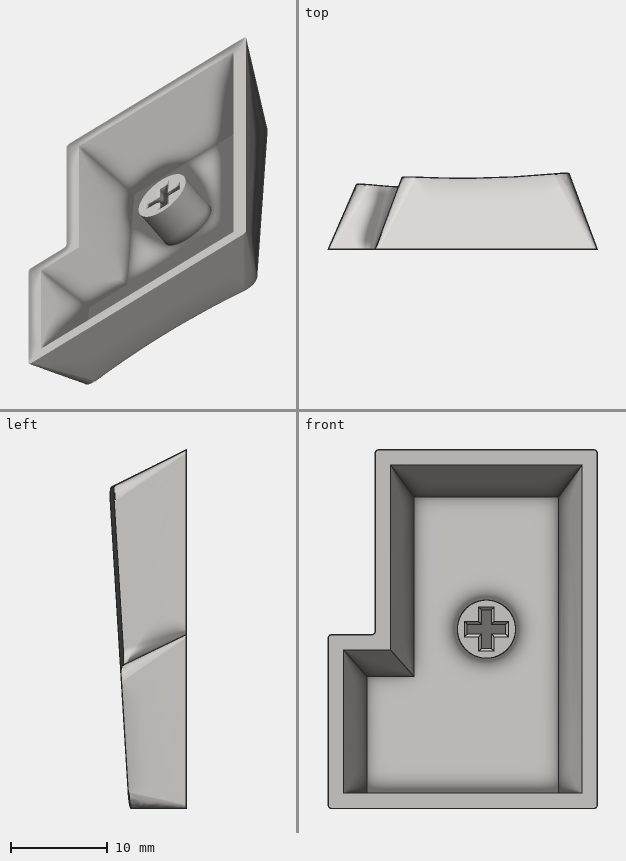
import cadquery as cq

WIDTH = 27.8
HEIGHT = 37.08
NOTCH_WIDTH = 4.85
STEP_HEIGHT = 18.0
WALL = 1.6

CROWN_INSET = 2.93
CROWN_STEP_INSET = 3.3
CROWN_TOP_INSET = 3.95
CROWN_Y_BOTTOM = 5.95
CROWN_Y_TOP = 7.97
BASE_RADIUS = 0.37
CROWN_RADIUS = 1.67
DISH_DEPTH = 0.63
DISH_OVERRUN = 18.55
CROWN_EDGE_RADIUS = 0.2

FLOOR_INSET = 2.4
FLOOR_TOP_INSET = 3.3
FLOOR_STEP_INSET = 2.75
FLOOR_Y_BOTTOM = 4.38
FLOOR_Y_TOP = 6.45

STEM_X = 16.35
STEM_Z = HEIGHT / 2
STEM_DIAMETER = 6.0
STEM_Y = 1.0
STEM_ROOT = 0.37
CROSS_LENGTH = 4.55
CROSS_WIDTH = 1.6
CROSS_CHAMFER = 0.3
CROSS_DEPTH = 3.7


def l_outline(left, notch, right, bottom, step, top):
    """Corners of an L with its upper left corner cut away, as (x, z)."""
    return [(left, bottom), (right, bottom), (right, top), (notch, top), (notch, step), (left, step)]


def tilted_plane(y_bottom, y_top, z_bottom, z_top):
    """Plane facing +Y through y_bottom at z_bottom and y_top at z_top; its local y axis runs down."""
    rise = (y_top - y_bottom) / (z_top - z_bottom)
    origin = (0, y_bottom - rise * z_bottom, 0)
    return cq.Plane(origin=origin, xDir=(1, 0, 0), normal=(0, 1, -rise))


def outline_wire(corners, plane, radius=0.0):
    """Closed wire whose corners have the given x and z, laid on the plane."""
    stretch = 1 / plane.zDir.y
    points = [(x, -z * stretch) for x, z in corners]
    wire = cq.Workplane(plane).polyline(points).close().val()
    if radius:
        wire = wire.fillet2D(radius, wire.Vertices())
    return wire


def ruled_solid(lower_wire, upper_wire):
    return cq.Workplane(obj=cq.Solid.makeLoft([lower_wire, upper_wire], True))


rim_plane = tilted_plane(0, 0, 0, HEIGHT)

crown_top = HEIGHT - CROWN_TOP_INSET
crown_plane = tilted_plane(CROWN_Y_BOTTOM, CROWN_Y_TOP, 0, crown_top)
base_corners = l_outline(0, NOTCH_WIDTH, WIDTH, 0, STEP_HEIGHT, HEIGHT)
crown_left = CROWN_INSET
crown_right = WIDTH - CROWN_INSET
crown_corners = l_outline(
    crown_left, NOTCH_WIDTH + CROWN_INSET, crown_right, 0, STEP_HEIGHT - CROWN_STEP_INSET, crown_top
)
body = ruled_solid(
    outline_wire(base_corners, rim_plane, BASE_RADIUS),
    outline_wire(crown_corners, crown_plane, CROWN_RADIUS),
)

half_span = (crown_right - crown_left) / 2
dish_radius = (half_span**2 + DISH_DEPTH**2) / (2 * DISH_DEPTH)
dish_length = HEIGHT + 2 * DISH_OVERRUN
dish_offset = dish_radius - DISH_DEPTH
dish_start = crown_plane.toWorldCoords((WIDTH / 2, -HEIGHT - DISH_OVERRUN, dish_offset))
dish = cq.Solid.makeCylinder(dish_radius, dish_length, dish_start, crown_plane.yDir)
body = body.cut(cq.Workplane(obj=dish))
body = body.faces("%CYLINDER").edges().fillet(CROWN_EDGE_RADIUS)

floor_top = HEIGHT - WALL - FLOOR_TOP_INSET
floor_plane = tilted_plane(FLOOR_Y_BOTTOM, FLOOR_Y_TOP, WALL, floor_top)
opening_corners = l_outline(
    WALL, NOTCH_WIDTH + WALL, WIDTH - WALL, WALL, STEP_HEIGHT - WALL, HEIGHT - WALL
)
floor_corners = l_outline(
    WALL + FLOOR_INSET,
    NOTCH_WIDTH + WALL + FLOOR_INSET,
    WIDTH - WALL - FLOOR_INSET,
    WALL,
    STEP_HEIGHT - WALL - FLOOR_STEP_INSET,
    floor_top,
)
cavity = ruled_solid(outline_wire(opening_corners, rim_plane), outline_wire(floor_corners, floor_plane))
body = body.cut(cavity)

stem_plane = cq.Plane(origin=(STEM_X, STEM_Y, STEM_Z), xDir=(1, 0, 0), normal=(0, 1, 0))
stem_length = (FLOOR_Y_BOTTOM + FLOOR_Y_TOP) / 2 + STEM_ROOT - STEM_Y
stem = cq.Workplane(stem_plane).circle(STEM_DIAMETER / 2).extrude(stem_length)


def cross_socket():
    """Cross-shaped socket with a chamfered mouth."""
    long_side = CROSS_LENGTH - 2 * CROSS_CHAMFER
    short_side = CROSS_WIDTH - 2 * CROSS_CHAMFER
    socket = cq.Workplane(stem_plane)
    for size_x, size_z in [(long_side, short_side), (short_side, long_side)]:
        bar = cq.Workplane(stem_plane).rect(size_x, size_z).extrude(CROSS_DEPTH)
        mouth = (
            cq.Workplane(stem_plane)
            .rect(size_x + 2 * CROSS_CHAMFER, size_z + 2 * CROSS_CHAMFER)
            .extrude(CROSS_CHAMFER, taper=45)
        )
        socket = socket.add(bar).add(mouth)
    return socket.combine()


result = body.union(stem).cut(cross_socket())